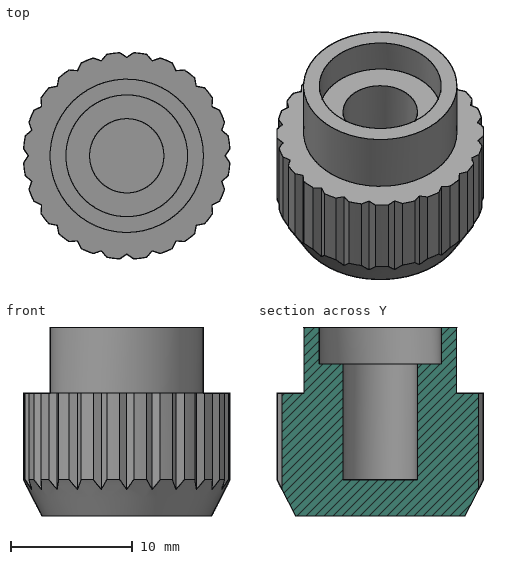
import cadquery as cq
import math

knob_width = 16.96
total_height = 15.5
boss_height = 5.4
taper_height = 3.0
base_diameter = 13.94
boss_diameter = 12.6
counterbore_diameter = 10.0
counterbore_depth = 3.0
hole_diameter = 6.1
groove_count = 24
groove_width = 1.15
groove_root_radius = 8.09
cutter_overhang = 0.34

groove_edge_radius = knob_width / 2
rim_radius = math.hypot(groove_edge_radius, groove_width / 2)
shoulder_height = total_height - boss_height
cutter_depth = groove_edge_radius + cutter_overhang - groove_root_radius
groove_slope = (groove_width / 2) / (groove_edge_radius - groove_root_radius)
hole_floor = taper_height


def make_body():
    """Revolve the tapered knob and its upper boss."""
    boss_radius = boss_diameter / 2
    return (
        cq.Workplane("XZ")
        .moveTo(0, 0)
        .lineTo(base_diameter / 2, 0)
        .lineTo(rim_radius, taper_height)
        .lineTo(rim_radius, shoulder_height)
        .lineTo(boss_radius, shoulder_height)
        .lineTo(boss_radius, total_height)
        .lineTo(0, total_height)
        .close()
        .revolve(360, (0, 0, 0), (0, 1, 0))
    )


def make_grooves():
    """Vertical V-shaped cutters spaced evenly around the rim."""
    outer_radius = groove_root_radius + cutter_depth
    outer_half_width = cutter_depth * groove_slope
    cutter = (
        cq.Workplane("XY")
        .moveTo(groove_root_radius, 0)
        .lineTo(outer_radius, outer_half_width)
        .lineTo(outer_radius, -outer_half_width)
        .close()
        .extrude(shoulder_height)
    )
    cutters = cq.Workplane("XY")
    for index in range(groove_count):
        angle = index * 360 / groove_count
        cutters = cutters.add(cutter.rotate((0, 0, 0), (0, 0, 1), angle))
    return cutters.combine()


def make_bore():
    """Counterbore open at the top with a narrower blind hole below it."""
    counterbore = (
        cq.Workplane("XY")
        .workplane(offset=total_height - counterbore_depth)
        .circle(counterbore_diameter / 2)
        .extrude(counterbore_depth)
    )
    hole = (
        cq.Workplane("XY")
        .workplane(offset=hole_floor)
        .circle(hole_diameter / 2)
        .extrude(total_height - hole_floor)
    )
    return counterbore.union(hole)


result = make_body().cut(make_grooves()).cut(make_bore())